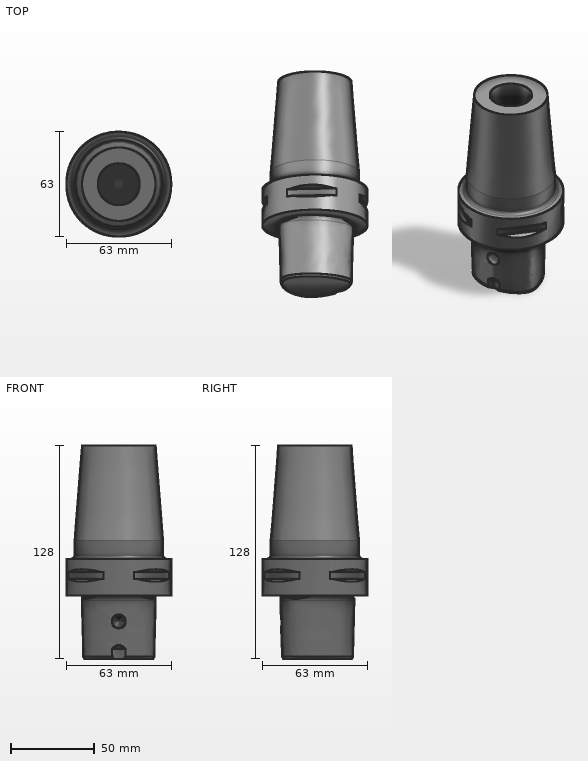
import cadquery as cq
import math

total_height = 128.0
taper_top_z = 35.0
flange_bottom_z = 38.0
flange_top_z = 60.0
collar_top_z = 70.9

flange_radius = 31.5
collar_radius = 26.5
collar_fillet = 2.0
nose_half_angle = 4.5
nose_radius = collar_radius - (total_height - collar_top_z) * math.tan(math.radians(nose_half_angle))
bore_radius = 12.5
bore_depth = 57.6

shank_width = 44.3
lobe_rise = 1.5
lobe_count = 3
taper_ratio = 1 / 20
curve_samples = 120
tip_chamfer_height = 1.5
tip_chamfer_inset = 0.9

relief_radius = 22.4
relief_straight_height = 0.8
relief_flare = 1.5

groove_count = 4
groove_start_angle = 45.0
groove_z = 50.0
groove_floor_distance = 27.8
groove_floor_width = 4.4
groove_flare_distance = 28.8
groove_flare_angle = 30.0

side_hole_radius = 4.1
side_hole_tip_half_angle = 59.0
side_hole_z = 22.5
side_hole_bottom_y = -11.5
keyway_radius = 5.0
keyway_tip_half_angle = 45.0
keyway_axis_y = -22.7
keyway_shoulder_z = 6.1


def lobed_section(mean_radius, z):
    """Closed constant-width curve whose support distance is radius + rise * cos(lobes * angle)."""

    def point(turn):
        angle = 2 * math.pi * turn
        support = mean_radius + lobe_rise * math.cos(lobe_count * angle)
        slope = -lobe_count * lobe_rise * math.sin(lobe_count * angle)
        along = support * math.cos(angle) - slope * math.sin(angle)
        across = support * math.sin(angle) + slope * math.cos(angle)
        return (-across, along, z)

    return cq.Workplane("XY").parametricCurve(point, N=curve_samples).wire().val()


def lobed_solid(bottom_radius, bottom_z, top_radius, top_z):
    sections = [lobed_section(bottom_radius, bottom_z), lobed_section(top_radius, top_z)]
    return cq.Workplane(cq.Solid.makeLoft(sections, True))


def make_upper_body():
    fillet_center = (collar_radius + collar_fillet, flange_top_z + collar_fillet)
    fillet_reach = collar_fillet * math.sqrt(0.5)
    fillet_middle = (fillet_center[0] - fillet_reach, fillet_center[1] - fillet_reach)
    return (
        cq.Workplane("XZ")
        .moveTo(0, flange_bottom_z)
        .lineTo(flange_radius, flange_bottom_z)
        .lineTo(flange_radius, flange_top_z)
        .lineTo(fillet_center[0], flange_top_z)
        .threePointArc(fillet_middle, (collar_radius, fillet_center[1]))
        .lineTo(collar_radius, collar_top_z)
        .lineTo(nose_radius, total_height)
        .lineTo(0, total_height)
        .close()
        .revolve(360, (0, 0), (0, 1))
    )


def make_shank():
    neck_radius = shank_width / 2
    taper_drop = taper_top_z - tip_chamfer_height
    taper_end_radius = neck_radius - taper_drop * taper_ratio / 2
    tip_radius = taper_end_radius - tip_chamfer_inset
    tip = lobed_solid(tip_radius, 0, taper_end_radius, tip_chamfer_height)
    taper = lobed_solid(taper_end_radius, tip_chamfer_height, neck_radius, taper_top_z)
    neck = lobed_solid(neck_radius, taper_top_z, neck_radius, flange_bottom_z)
    return tip.union(taper).union(neck)


def make_lobe_relief():
    outer_radius = relief_radius + relief_flare
    straight_end_z = flange_bottom_z - relief_straight_height
    return (
        cq.Workplane("XZ")
        .moveTo(relief_radius, flange_bottom_z)
        .lineTo(relief_radius, straight_end_z)
        .lineTo(outer_radius, straight_end_z - relief_flare)
        .lineTo(outer_radius, flange_bottom_z)
        .close()
        .revolve(360, (0, 0), (0, 1))
    )


def make_gripper_groove(angle):
    """Flat-floored groove whose walls start straight and then flare, cut straight across the flange rim."""
    floor_half = groove_floor_width / 2
    flare_depth = flange_radius - groove_flare_distance
    mouth_half = floor_half + flare_depth * math.tan(math.radians(groove_flare_angle))
    return (
        cq.Workplane("XZ")
        .moveTo(groove_floor_distance, groove_z - floor_half)
        .lineTo(groove_flare_distance, groove_z - floor_half)
        .lineTo(flange_radius, groove_z - mouth_half)
        .lineTo(flange_radius, groove_z + mouth_half)
        .lineTo(groove_flare_distance, groove_z + floor_half)
        .lineTo(groove_floor_distance, groove_z + floor_half)
        .close()
        .extrude(flange_radius, both=True)
        .rotate((0, 0, 0), (0, 0, 1), angle)
    )


def make_drill(radius, length, tip_half_angle):
    """Drill along +Z with its full-diameter end at the origin and its conical tip above."""
    tip_height = radius / math.tan(math.radians(tip_half_angle))
    return (
        cq.Workplane("XZ")
        .moveTo(0, -length)
        .lineTo(radius, -length)
        .lineTo(radius, 0)
        .lineTo(0, tip_height)
        .close()
        .revolve(360, (0, 0), (0, 1))
    )


def make_side_hole():
    drill = make_drill(side_hole_radius, flange_radius + side_hole_bottom_y, side_hole_tip_half_angle)
    return drill.rotate((0, 0, 0), (1, 0, 0), -90).translate((0, side_hole_bottom_y, side_hole_z))


def make_keyway():
    drill = make_drill(keyway_radius, keyway_shoulder_z, keyway_tip_half_angle)
    return drill.translate((0, keyway_axis_y, keyway_shoulder_z))


shank = make_shank().cut(make_lobe_relief()).cut(make_side_hole()).cut(make_keyway())

bore = cq.Workplane("XY", origin=(0, 0, total_height - bore_depth)).circle(bore_radius).extrude(bore_depth)
upper_body = make_upper_body().cut(bore)
for index in range(groove_count):
    upper_body = upper_body.cut(make_gripper_groove(groove_start_angle + index * 360 / groove_count))

result = upper_body.union(shank)